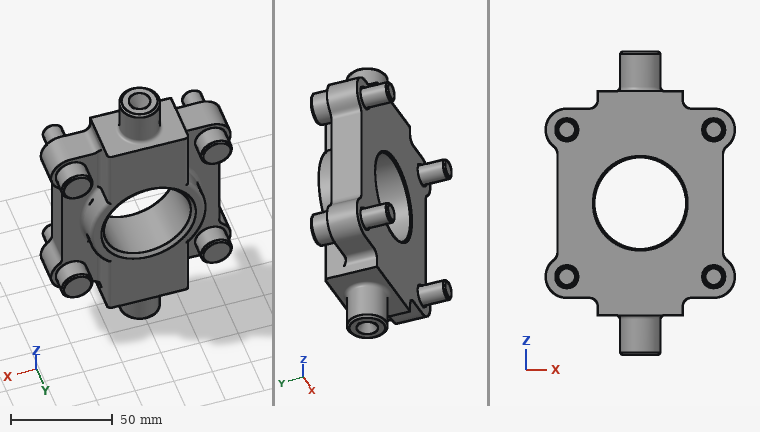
import cadquery as cq
import math

overall_length = 149.0
block_width = 41.9
block_length = 110.0
block_depth = 28.0
flange_depth = 16.0
side_width = 81.3

screw_offset = 36.0
lug_radius = 10.5
lug_side_fillet = 4.8
lug_block_fillet = 4.0

bore_diameter = 45.0
bore_front_chamfer = 0.7
bore_back_chamfer = 2.0
boss_diameter = 59.9
step_fillet = 2.0
back_fillet = 2.0

trunnion_diameter = 20.0
trunnion_y = block_depth / 2
trunnion_chamfer = 1.2
trunnion_root_fillet = 2.0
centre_diameter = 10.6
centre_angle = 60.0
centre_tip_diameter = 1.0

shank_diameter = 10.0
shank_projection = 14.0
shank_chamfer = 0.9
head_diameter = 16.0
head_height = 10.0
head_chamfer = 0.9
clearance_diameter = 11.3

fillet_mid_angle = math.radians(225)

screw_points = [
    (x_sign * screw_offset, z_sign * screw_offset)
    for x_sign in (-1, 1)
    for z_sign in (-1, 1)
]


def extrude_back(profile, depth):
    """Extrude an XZ profile from the front face Y = 0 toward +Y."""
    return profile.extrude(-depth)


def polar_point(centre, radius, angle):
    """Point on a circle, with the angle in radians."""
    return (centre[0] + radius * math.cos(angle), centre[1] + radius * math.sin(angle))


def make_plate():
    """Full-depth front outline: one quarter, mirrored about both mid-planes."""
    side = side_width / 2
    block_side = block_width / 2
    block_top = block_length / 2
    lug_top = screw_offset + lug_radius
    lug_centre = (screw_offset, screw_offset)

    fillet_x = side + lug_side_fillet
    across = fillet_x - screw_offset
    drop = math.sqrt((lug_radius + lug_side_fillet) ** 2 - across**2)
    side_fillet_centre = (fillet_x, screw_offset - drop)
    contact_angle = math.atan2(-drop, across)
    side_mid_angle = math.pi + contact_angle / 2
    lug_mid_angle = (contact_angle + math.pi / 2) / 2

    block_fillet_centre = (block_side + lug_block_fillet, lug_top + lug_block_fillet)

    quarter = (
        cq.Workplane("XZ")
        .lineTo(side, 0)
        .lineTo(side, side_fillet_centre[1])
        .threePointArc(
            polar_point(side_fillet_centre, lug_side_fillet, side_mid_angle),
            polar_point(lug_centre, lug_radius, contact_angle),
        )
        .threePointArc(
            polar_point(lug_centre, lug_radius, lug_mid_angle),
            (screw_offset, lug_top),
        )
        .lineTo(block_fillet_centre[0], lug_top)
        .threePointArc(
            polar_point(block_fillet_centre, lug_block_fillet, fillet_mid_angle),
            (block_side, block_fillet_centre[1]),
        )
        .lineTo(block_side, block_top)
        .lineTo(0, block_top)
        .close()
    )
    plate = extrude_back(quarter, block_depth)
    plate = plate.union(plate.mirror("YZ"))
    return plate.union(plate.mirror("XY")).clean()


def make_back_envelope():
    """Slab up to the step, with the raised block and boss and their fillets.

    It runs past the plate in X and Z, so that the plate outline trims it.
    """
    rectangle = cq.Workplane("XZ").rect
    slab = extrude_back(rectangle(overall_length, overall_length), flange_depth)
    block = extrude_back(rectangle(block_width, overall_length), block_depth)
    boss = extrude_back(cq.Workplane("XZ").circle(boss_diameter / 2), block_depth)
    envelope = slab.union(block).union(boss)

    inside = cq.selectors.BoxSelector(
        (-block_length / 2, 0, -block_length / 2),
        (block_length / 2, overall_length, block_length / 2),
    )
    envelope = envelope.faces(">Y").edges(inside).fillet(back_fillet)
    at_step = cq.selectors.BoxSelector(
        (-boss_diameter / 2, flange_depth - step_fillet, -block_length / 2),
        (boss_diameter / 2, flange_depth + step_fillet, block_length / 2),
    )
    return envelope.edges(at_step).fillet(step_fillet)


def make_trunnion():
    """Upper trunnion with its root fillet, end chamfer and centre hole."""
    root_z = block_length / 2
    end_z = overall_length / 2
    radius = trunnion_diameter / 2
    centre_radius = centre_diameter / 2
    tip_radius = centre_tip_diameter / 2
    centre_depth = (centre_radius - tip_radius) / math.tan(math.radians(centre_angle / 2))
    fillet_centre = (radius + trunnion_root_fillet, root_z + trunnion_root_fillet)
    profile = (
        cq.Workplane("XZ")
        .moveTo(0, root_z)
        .lineTo(fillet_centre[0], root_z)
        .threePointArc(
            polar_point(fillet_centre, trunnion_root_fillet, fillet_mid_angle),
            (radius, fillet_centre[1]),
        )
        .lineTo(radius, end_z - trunnion_chamfer)
        .lineTo(radius - trunnion_chamfer, end_z)
        .lineTo(centre_radius, end_z)
        .lineTo(tip_radius, end_z - centre_depth)
        .lineTo(0, end_z - centre_depth)
        .close()
    )
    return profile.revolve(360, (0, 0), (0, 1)).translate((0, trunnion_y, 0))


def make_bore():
    """Through bore, chamfered at the front and the back."""
    radius = bore_diameter / 2
    profile = (
        cq.Workplane("XY")
        .lineTo(radius + bore_front_chamfer, 0)
        .lineTo(radius, bore_front_chamfer)
        .lineTo(radius, block_depth - bore_back_chamfer)
        .lineTo(radius + bore_back_chamfer, block_depth)
        .lineTo(0, block_depth)
        .close()
    )
    return profile.revolve(360, (0, 0), (0, 1))


def make_housing():
    """Plate, block, boss and trunnions with the bore and the screw holes."""
    housing = make_plate().intersect(make_back_envelope())
    trunnion = make_trunnion()
    housing = housing.union(trunnion).union(trunnion.mirror("XY"))

    bore = make_bore()
    screw_holes = extrude_back(
        cq.Workplane("XZ").pushPoints(screw_points).circle(clearance_diameter / 2),
        flange_depth,
    )
    return housing.cut(bore).cut(screw_holes)


def make_screw(x, z):
    """Cap screw whose head seats on the back of a lug."""
    shank = (
        cq.Workplane("XZ", origin=(0, -shank_projection, 0))
        .circle(shank_diameter / 2)
        .extrude(-(shank_projection + flange_depth))
        .faces("<Y")
        .chamfer(shank_chamfer)
    )
    head = (
        cq.Workplane("XZ", origin=(0, flange_depth, 0))
        .circle(head_diameter / 2)
        .extrude(-head_height)
        .faces(">Y")
        .edges()
        .chamfer(head_chamfer)
    )
    return shank.union(head).translate((x, 0, z))


housing = make_housing()
screws = [make_screw(x, z) for x, z in screw_points]
result = cq.Compound.makeCompound([housing.val(), *[screw.val() for screw in screws]])